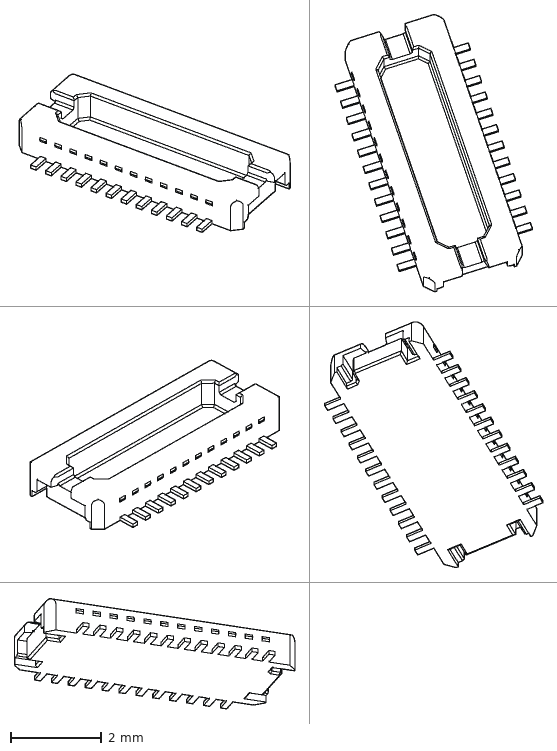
import cadquery as cq

LENGTH = 5.94
WIDTH = 2.315
HEIGHT = 0.8
CORNER_CHAMFER = 0.2
TOP_ROUND = 0.155
BEVEL = 0.0505

CAVITY_LENGTH = 4.61
CAVITY_WIDTH = 1.21
CAVITY_CORNER = 0.2
CAVITY_FLOOR = 0.135

NOTCH_WIDTH = 0.515
NOTCH_FLOOR = 0.53

CORE_END = 2.8
CORE_WIDTH = 1.235
KEY_CHAMFER = 0.055
RELIEF_END = 2.495
RELIEF_WIDTH = 1.495
RELIEF_FOOT_WIDTH = 1.805
RELIEF_FOOT_HEIGHT = 0.16
RELIEF_EDGE_BEVEL = 0.05

CONTACTS_PER_SIDE = 12
CONTACT_ROW = 4.4
LEAD_SPAN = 3.12
LEAD_WIDTH = 0.15
LEAD_THICKNESS = 0.09
LEAD_EMBED = 0.09
BUMP_WIDTH = 0.17
BUMP_BOTTOM = 0.495
BUMP_TOP = 0.595
BUMP_REACH = 0.02


def make_housing():
    """Solid block with a rounded top rim and flat, vertical corner cuts."""
    block = cq.Workplane("XY").box(LENGTH, WIDTH, HEIGHT, centered=(True, True, False))
    block = block.faces(">Z").edges().fillet(TOP_ROUND)
    corner_cut = (
        cq.Workplane("XY")
        .rect(LENGTH, WIDTH)
        .extrude(HEIGHT)
        .edges("|Z")
        .chamfer(CORNER_CHAMFER)
    )
    return block.intersect(corner_cut)


def cavity_outline(base):
    """Place the cavity outline, a rectangle with cut corners, at height base."""
    x = CAVITY_LENGTH / 2
    y = CAVITY_WIDTH / 2
    c = CAVITY_CORNER
    points = [
        (x - c, y), (x, y - c), (x, c - y), (x - c, -y),
        (c - x, -y), (-x, c - y), (-x, y - c), (c - x, y),
    ]
    return cq.Workplane("XY").workplane(offset=base).polyline(points).close()


def make_cavity():
    """Cavity with a beveled floor edge and a beveled mouth."""
    pocket = cavity_outline(CAVITY_FLOOR).extrude(HEIGHT - CAVITY_FLOOR)
    pocket = pocket.faces("<Z").edges().chamfer(BEVEL)
    mouth = cavity_outline(HEIGHT - BEVEL).extrude(BEVEL, taper=-45)
    return pocket.union(mouth)


def mirrored_profile(half_points):
    """Close a half profile, listed as (y, z), with its mirror image in y."""
    mirror = [(-y, z) for y, z in reversed(half_points)]
    return cq.Workplane("YZ").polyline(half_points + mirror).close()


def make_notch():
    """Slot along the whole length, with beveled floor and top edges."""
    half = NOTCH_WIDTH / 2
    profile = mirrored_profile([
        (half - BEVEL, NOTCH_FLOOR),
        (half, NOTCH_FLOOR + BEVEL),
        (half, HEIGHT - BEVEL),
        (half + BEVEL, HEIGHT),
    ])
    return profile.extrude(LENGTH / 2, both=True)


def make_notch_mouth(side):
    """Flared outer end of the notch; side is -1 or 1 along X."""
    half = NOTCH_WIDTH / 2
    points = [
        (side * CORE_END, -half),
        (side * LENGTH / 2, -half - BEVEL),
        (side * LENGTH / 2, half + BEVEL),
        (side * CORE_END, half),
    ]
    plan = cq.Workplane("XY").workplane(offset=NOTCH_FLOOR).polyline(points).close()
    return plan.extrude(HEIGHT - NOTCH_FLOOR)


def make_core():
    """Block left standing inside the end reliefs, beveled at its base.

    The -X, +Y corner is keyed by chamfers on its outer and inner steps.
    """
    side = CORE_WIDTH / 2
    outer = WIDTH / 2
    points = [
        (-CORE_END, side - KEY_CHAMFER),
        (KEY_CHAMFER - CORE_END, side),
        (-RELIEF_END - KEY_CHAMFER, side),
        (-RELIEF_END, side + KEY_CHAMFER),
        (-RELIEF_END, outer),
        (RELIEF_END, outer),
        (RELIEF_END, side),
        (CORE_END, side),
        (CORE_END, -side),
        (RELIEF_END, -side),
        (RELIEF_END, -outer),
        (-RELIEF_END, -outer),
        (-RELIEF_END, -side),
        (-CORE_END, -side),
    ]
    core = cq.Workplane("XY").polyline(points).close().extrude(NOTCH_FLOOR)
    return core.faces("<Z").edges().chamfer(BEVEL)


def make_end_reliefs():
    """Hollows open to the bottom and the ends, on both sides of the core."""
    foot = RELIEF_FOOT_WIDTH / 2
    upper = RELIEF_WIDTH / 2
    profile = mirrored_profile([
        (foot, 0),
        (foot, RELIEF_FOOT_HEIGHT),
        (upper + RELIEF_EDGE_BEVEL, RELIEF_FOOT_HEIGHT),
        (upper, RELIEF_FOOT_HEIGHT + RELIEF_EDGE_BEVEL),
        (upper, NOTCH_FLOOR),
    ])
    tunnel = profile.extrude(LENGTH / 2, both=True)
    return tunnel.cut(make_core())


def make_contact(x, side):
    """Flat lead and the small bump above it; side is -1 or 1 along Y."""
    lead_length = (LEAD_SPAN - WIDTH) / 2 + LEAD_EMBED
    lead = cq.Workplane("XY").box(
        LEAD_WIDTH, lead_length, LEAD_THICKNESS, centered=(True, True, False)
    )
    lead = lead.translate((x, side * (LEAD_SPAN - lead_length) / 2, 0))

    wall = WIDTH / 2
    bump_points = [
        (side * (wall - BUMP_REACH), BUMP_BOTTOM),
        (side * wall, BUMP_BOTTOM),
        (side * (wall + BUMP_REACH), (BUMP_BOTTOM + BUMP_TOP) / 2),
        (side * wall, BUMP_TOP),
        (side * (wall - BUMP_REACH), BUMP_TOP),
    ]
    bump = cq.Workplane("YZ").polyline(bump_points).close()
    bump = bump.extrude(BUMP_WIDTH / 2, both=True).translate((x, 0, 0))
    return lead, bump


result = make_housing().cut(make_cavity()).cut(make_notch()).cut(make_end_reliefs())

for end in (-1, 1):
    result = result.cut(make_notch_mouth(end))

pitch = CONTACT_ROW / (CONTACTS_PER_SIDE - 1)
for index in range(CONTACTS_PER_SIDE):
    contact_x = index * pitch - CONTACT_ROW / 2
    for contact_side in (-1, 1):
        lead, bump = make_contact(contact_x, contact_side)
        result = result.union(lead).union(bump)